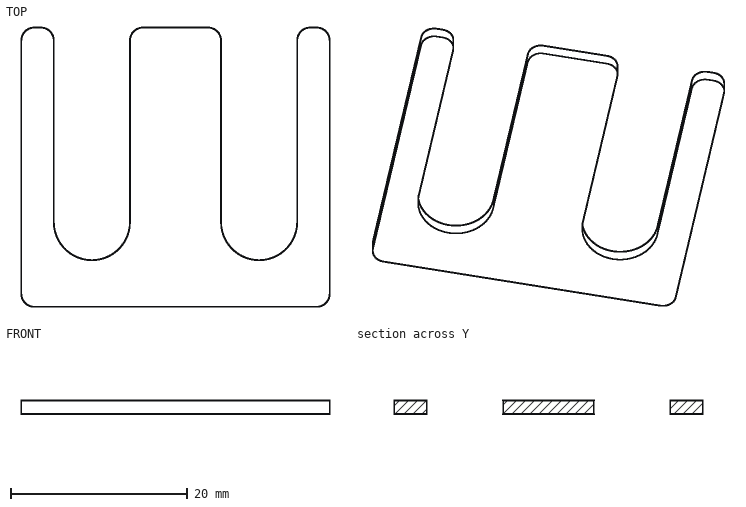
import cadquery as cq

width = 35.05
depth = 31.75
thickness = 1.58
corner_radius = 1.5

slot_width = 8.62
slot_spacing = 19.0
slot_floor = 5.33
slot_radius = slot_width / 2
slot_arc_y = -depth / 2 + slot_floor + slot_radius


def slot_cutter(center_x):
    """Slot from its round floor out through the +Y edge."""
    left = center_x - slot_radius
    right = center_x + slot_radius
    return (
        cq.Workplane("XY", origin=(0, 0, -thickness / 2))
        .moveTo(left, depth / 2)
        .lineTo(left, slot_arc_y)
        .threePointArc((center_x, slot_arc_y - slot_radius), (right, slot_arc_y))
        .lineTo(right, depth / 2)
        .close()
        .extrude(thickness)
    )


plate = cq.Workplane("XY").box(width, depth, thickness)
for side in (-1, 1):
    plate = plate.cut(slot_cutter(side * slot_spacing / 2))

prong_tip_edges = plate.faces(">Y").edges("|Z")
base_corner_edges = plate.faces("<Y").edges("|Z")
result = plate.newObject(prong_tip_edges.vals() + base_corner_edges.vals()).fillet(corner_radius)